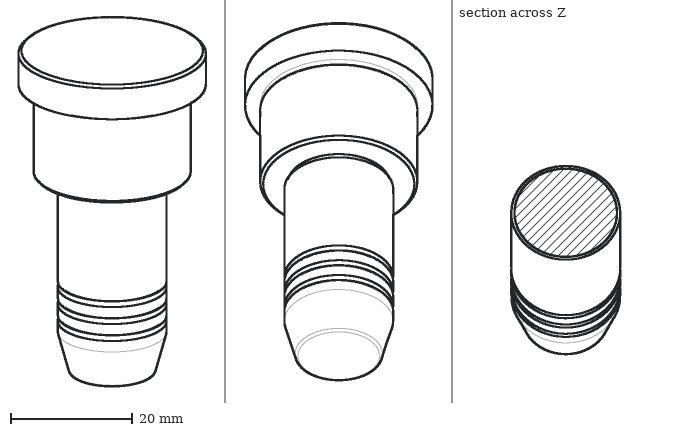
import cadquery as cq
import math

total_height = 57.0
edge_break = 0.5

groove_radius = 0.5

head_radius = 31.0 / 2
head_height = 6.0

collar_radius = 26.0 / 2
collar_height = 16.0

neck_radius = 17.0 / 2
neck_height = 1.0
shank_radius = 18.0 / 2

groove_count = 3
groove_pitch = 3.0
lowest_groove_height = 9.45

tip_height = 7.0
tip_angle = 15.0

head_bottom = total_height - head_height
collar_bottom = head_bottom - collar_height
neck_bottom = collar_bottom - neck_height
tip_radius = shank_radius - tip_height * math.tan(math.radians(tip_angle))


def cylinder(radius, bottom, top):
    """Solid cylinder on the Z axis between two levels."""
    return cq.Workplane("XY").workplane(offset=bottom).circle(radius).extrude(top - bottom)


def make_head():
    return cylinder(head_radius, head_bottom, total_height).faces(">Z").edges().chamfer(edge_break)


def make_collar():
    collar = cylinder(collar_radius, collar_bottom, head_bottom)
    return collar.faces("<Z").edges().chamfer(edge_break)


def make_ring(surface_radius, level):
    """Ring of circular section centred on a cylindrical surface, leaving a semicircular groove."""
    return (
        cq.Workplane("XZ")
        .center(surface_radius, level)
        .circle(groove_radius)
        .revolve(360, (-surface_radius, 0, 0), (-surface_radius, 1, 0))
    )


def make_tip():
    tip = cq.Workplane("XY").circle(tip_radius).workplane(offset=tip_height).circle(shank_radius).loft()
    return tip.faces("<Z").edges().fillet(edge_break)


relief = make_ring(collar_radius, head_bottom - groove_radius)
collar = make_collar().cut(relief)
neck = cylinder(neck_radius, neck_bottom, collar_bottom)
shank = cylinder(shank_radius, tip_height, neck_bottom)

for index in range(groove_count):
    shank = shank.cut(make_ring(shank_radius, lowest_groove_height + index * groove_pitch))

result = make_head().union(collar).union(neck).union(shank).union(make_tip())